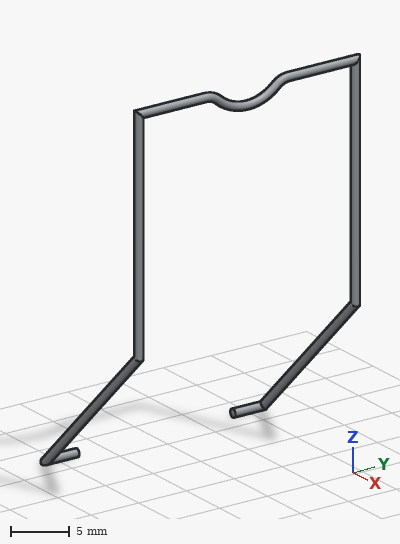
import cadquery as cq
import math

wire_diameter = 0.8
overall_x = 14.68
overall_y = 23.5
overall_z = 37.15

hook_length = 3.55
dip_half_width = 4.35
shoulder_radius = 2.0
valley_radius = 4.5

wire_radius = wire_diameter / 2
leg_y = overall_y / 2 - wire_radius
hook_end_y = overall_y / 2 - hook_length
front_x = wire_radius - overall_x / 2
back_x = -front_x
foot_z = wire_radius
knee_z = foot_z + (back_x - front_x)
top_z = overall_z - wire_radius

dip_angle = math.asin(dip_half_width / (shoulder_radius + valley_radius))


def shoulder_point(side, angle):
    """Point on a shoulder arc after turning by angle away from the top bar."""
    y = side * (dip_half_width - shoulder_radius * math.sin(angle))
    z = top_z - shoulder_radius * (1 - math.cos(angle))
    return cq.Vector(back_x, y, z)


def top_bar_dip():
    """Shoulder, valley and shoulder arcs, running from -Y to +Y."""
    valley_z = top_z - (shoulder_radius + valley_radius) * (1 - math.cos(dip_angle))
    valley_bottom = cq.Vector(back_x, 0, valley_z)
    left = [shoulder_point(-1, dip_angle * step / 2) for step in range(3)]
    right = [shoulder_point(1, dip_angle * step / 2) for step in range(3)]
    return [
        cq.Edge.makeThreePointArc(*left),
        cq.Edge.makeThreePointArc(left[-1], valley_bottom, right[-1]),
        cq.Edge.makeThreePointArc(*reversed(right)),
    ]


def side_points(side):
    """Straight centreline from the hook end up to the edge of the dip."""
    return [
        cq.Vector(front_x, side * hook_end_y, foot_z),
        cq.Vector(front_x, side * leg_y, foot_z),
        cq.Vector(back_x, side * leg_y, knee_z),
        cq.Vector(back_x, side * leg_y, top_z),
        shoulder_point(side, 0),
    ]


def straight_edges(points):
    return [cq.Edge.makeLine(start, end) for start, end in zip(points, points[1:])]


centreline = cq.Wire.assembleEdges(
    straight_edges(side_points(-1))
    + top_bar_dip()
    + straight_edges(side_points(1)[::-1])
)

hook_end_plane = cq.Plane(
    origin=(front_x, -hook_end_y, foot_z), xDir=(1, 0, 0), normal=(0, -1, 0)
)
result = (
    cq.Workplane(hook_end_plane)
    .circle(wire_radius)
    .sweep(cq.Workplane(obj=centreline), transition="right")
)